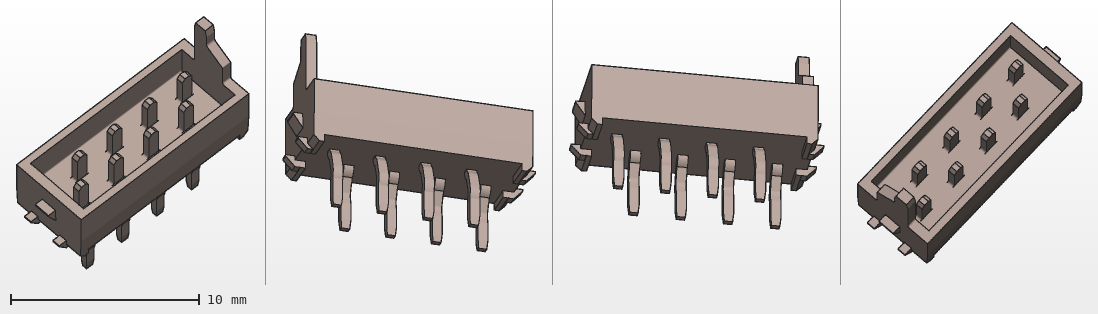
import cadquery as cq
import math


overall_length = 13.19

body_length = 12.17
body_width = 5.0
body_top = 3.2
taper_start = 1.23
taper_inset = 0.09
end_wall = 0.6
cavity_width = 4.12
cavity_length = body_length - 2 * end_wall
floor_top = 1.29
floor_fillet = 0.09

foot_height = 0.4
foot_chamfer = 0.32

snap_reach = (overall_length - body_length) / 2
snap_lip = 0.09
clip_width = 0.5
clip_inner = 0.85
clip_top = 0.24
hook_top = 2.1
hook_top_width = 1.02
hook_bottom_width = 1.08

key_height = 3.4
key_left = -1.1
key_right = 1.1
key_post_right = -0.15
key_tip_inset = 0.1
key_tip_height = 0.5
key_shoulder_high = 2.16
key_shoulder_low = 1.41
key_shoulder_fillet = 0.18
key_corner_fillet = 0.07
key_root_fillet = 0.12

pins_per_row = 4
pin_span = 8.89
pin_pitch = pin_span / (2 * pins_per_row - 1)
row_spacing = 1.46
row_offset = row_spacing / 2
pin_thickness = 0.41
blade_width = 0.7
blade_top = 3.19
blade_chamfer = 0.2
blade_root_fillet = 0.12
leg_width = 0.55
leg_offset = 1.25
leg_inner = leg_offset - pin_thickness / 2
leg_outer = leg_offset + pin_thickness / 2
straight_start = -1.99
tip_start = -3.0
tip_end = -3.5
tip_inset = 0.05

inner_bulge_mid = (0.61, -0.3)
inner_bulge_end = (0.83, -0.57)
inner_slope_start = (0.87, -0.63)
inner_slope_end = (1.13, -1.36)
inner_knee_mid = (1.15, -1.54)
inner_knee_end = (1.12, -1.71)
outer_hollow_mid = (0.96, -0.1)
outer_hollow_end = (1.04, -0.2)
outer_shoulder_mid = (1.17, -0.35)
outer_slope_start = (1.25, -0.53)
outer_slope_end = (1.5, -1.24)
outer_knee_mid = (1.54, -1.54)
outer_knee_end = (1.5, -1.83)

half_width = body_width / 2
half_length = body_length / 2


def make_housing():
    """Tapered trough with a foot at each lower corner."""
    sole_half_width = half_width - taper_inset
    section = [
        (-half_width, body_top),
        (half_width, body_top),
        (half_width, taper_start),
        (sole_half_width, -foot_height),
        (-sole_half_width, -foot_height),
        (-half_width, taper_start),
    ]
    housing = cq.Workplane("XZ").polyline(section).close().extrude(half_length, both=True)

    between_ends = cq.Workplane("XY").rect(body_width, cavity_length).extrude(-foot_height)
    between_feet = cq.Workplane("XY").rect(2 * clip_inner, body_length).extrude(-foot_height)
    housing = housing.cut(between_ends).cut(between_feet)
    housing = housing.faces("<Z").edges("<Y or >Y").chamfer(foot_chamfer)

    cavity = (
        cq.Workplane("XY")
        .workplane(offset=floor_top)
        .rect(cavity_width, cavity_length)
        .extrude(body_top - floor_top)
        .faces("<Z")
        .edges("|Y")
        .fillet(floor_fillet)
    )
    return housing.cut(cavity)


def snap_wedge(top, bottom, width):
    """Wedge on the -Y end, centred on X: flat on top, sloping back to the wall."""
    tip = -half_length - snap_reach
    root = -half_length + end_wall / 2
    side = [
        (root, top),
        (tip, top),
        (tip, top - snap_lip),
        (-half_length, bottom),
        (root, bottom),
    ]
    return cq.Workplane("YZ").polyline(side).close().extrude(width / 2, both=True)


def make_end_snaps():
    """One hook and two clips for the -Y end."""
    hook_bottom = taper_start
    hook_face = [
        (-hook_top_width / 2, hook_top),
        (hook_top_width / 2, hook_top),
        (hook_bottom_width / 2, hook_bottom),
        (-hook_bottom_width / 2, hook_bottom),
    ]
    flanks = cq.Workplane("XZ").polyline(hook_face).close().extrude(body_length)
    snaps = snap_wedge(hook_top, hook_bottom, hook_bottom_width).intersect(flanks)

    clip = snap_wedge(clip_top, -foot_height, clip_width)
    clip_offset = clip_inner + clip_width / 2
    for side in (-1, 1):
        snaps = snaps.add(clip.translate((side * clip_offset, 0, 0)))
    return snaps.combine()


def make_key():
    """Stepped upright plate flush with the +Y face, flared at its root."""
    root = body_top
    top = root + key_height
    flare = key_root_fillet
    flare_mid = flare * (1 - math.sqrt(0.5))
    outline = (
        cq.Workplane("XZ", origin=(0, half_length, 0))
        .moveTo(key_left - flare, root)
        .threePointArc((key_left - flare_mid, root + flare_mid), (key_left, root + flare))
        .lineTo(key_left, top - key_tip_height)
        .lineTo(key_left + key_tip_inset, top)
        .lineTo(key_post_right - key_tip_inset, top)
        .lineTo(key_post_right, top - key_tip_height)
        .lineTo(key_post_right, root + key_shoulder_high)
        .lineTo(key_right, root + key_shoulder_low)
        .lineTo(key_right, root + flare)
        .threePointArc((key_right + flare_mid, root + flare_mid), (key_right + flare, root))
        .close()
    )
    key = outline.extrude(end_wall)

    mid_y = half_length - end_wall / 2
    inner_corner = cq.selectors.NearestToPointSelector((key_post_right, mid_y, root + key_shoulder_high))
    outer_corner = cq.selectors.NearestToPointSelector((key_right, mid_y, root + key_shoulder_low))
    key = key.edges(inner_corner).fillet(key_shoulder_fillet)
    return key.edges(outer_corner).fillet(key_corner_fillet)


def make_blade():
    """Contact blade of the +X row at Y = 0, with fillets onto the cavity floor."""
    half = blade_width / 2
    root = half + blade_root_fillet
    fillet_mid = blade_root_fillet * (1 - math.sqrt(0.5))
    root_top = floor_top + blade_root_fillet
    profile = (
        cq.Workplane("YZ", origin=(row_offset, 0, 0))
        .moveTo(-half, 0)
        .lineTo(-root, 0)
        .lineTo(-root, floor_top)
        .threePointArc((-half - fillet_mid, floor_top + fillet_mid), (-half, root_top))
        .lineTo(-half, blade_top - blade_chamfer)
        .lineTo(-half + blade_chamfer, blade_top)
        .lineTo(half - blade_chamfer, blade_top)
        .lineTo(half, blade_top - blade_chamfer)
        .lineTo(half, root_top)
        .threePointArc((half + fillet_mid, floor_top + fillet_mid), (root, floor_top))
        .lineTo(root, 0)
        .close()
    )
    return profile.extrude(pin_thickness / 2, both=True)


def make_leg():
    """Kinked solder leg of the +X row at Y = 0, with a tapered tip."""
    exit_inner = row_offset - pin_thickness / 2
    exit_outer = row_offset + pin_thickness / 2
    kinked = (
        cq.Workplane("XZ")
        .moveTo(exit_inner, 0)
        .threePointArc(inner_bulge_mid, inner_bulge_end)
        .lineTo(*inner_slope_start)
        .lineTo(*inner_slope_end)
        .threePointArc(inner_knee_mid, inner_knee_end)
        .lineTo(leg_inner, straight_start)
        .lineTo(leg_inner, tip_start)
        .lineTo(leg_outer, tip_start)
        .lineTo(leg_outer, straight_start)
        .lineTo(*outer_knee_end)
        .threePointArc(outer_knee_mid, outer_slope_end)
        .lineTo(*outer_slope_start)
        .threePointArc(outer_shoulder_mid, outer_hollow_end)
        .threePointArc(outer_hollow_mid, (exit_outer, 0))
        .close()
        .extrude(leg_width / 2, both=True)
    )
    tip_length = tip_start - tip_end
    tip = (
        cq.Workplane("XY", origin=(leg_offset, 0, tip_start))
        .rect(pin_thickness, leg_width)
        .extrude(-tip_length, taper=math.degrees(math.atan(tip_inset / tip_length)))
    )
    return kinked.union(tip)


result = make_housing().union(make_key())

snaps = make_end_snaps()
result = result.union(snaps).union(snaps.mirror("XZ"))

right_pin = make_blade().union(make_leg())
left_pin = right_pin.mirror("YZ")
first_y = pin_span / 2
for index in range(pins_per_row):
    left_y = first_y - 2 * index * pin_pitch
    result = result.union(left_pin.translate((0, left_y, 0)))
    result = result.union(right_pin.translate((0, left_y - pin_pitch, 0)))